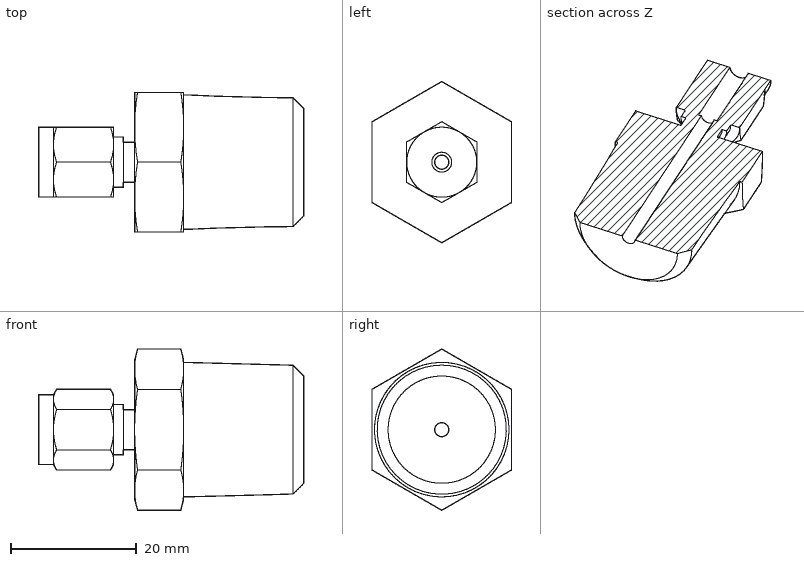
import cadquery as cq
import math

total_length = 42.15
HEXAGON_SIDES = 6

nut_flats = 11.15
nut_collar_diameter = 11.15
nut_collar_length = 2.35
nut_end = 11.95
nut_chamfer_angle = 30

flange_diameter = 8
flange_end = 13.5
neck_diameter = 6.4

body_flats = 22.2
body_start = 15.25
body_end = 23.05
body_chamfer_angle = 15

thread_relief_diameter = 21.38
thread_start = 24.05
thread_half_angle = 1.5
thread_chamfer = 1.73

tube_bore_diameter = 3.15
tube_bore_depth = nut_end
through_bore_diameter = 2.2


def cylinder(start, end, diameter):
    """Round section along X between two stations."""
    return cq.Workplane("YZ", origin=(start, 0, 0)).circle(diameter / 2).extrude(end - start)


def chamfered_hexagon(start, end, flats, face_diameter, chamfer_angle):
    """Hexagon along X, corners up and down, with its corners turned off conically at both faces."""
    corners = flats / math.cos(math.pi / HEXAGON_SIDES)
    prism = (
        cq.Workplane("YZ", origin=(start, 0, 0))
        .transformed(rotate=(0, 0, 90))
        .polygon(HEXAGON_SIDES, corners)
        .extrude(end - start)
    )
    face_radius = face_diameter / 2
    corner_radius = corners / 2
    setback = (corner_radius - face_radius) * math.tan(math.radians(chamfer_angle))
    turned_envelope = (
        cq.Workplane("XZ")
        .moveTo(start, 0)
        .lineTo(start, face_radius)
        .lineTo(start + setback, corner_radius)
        .lineTo(end - setback, corner_radius)
        .lineTo(end, face_radius)
        .lineTo(end, 0)
        .close()
        .revolve(360, (0, 0, 0), (1, 0, 0))
    )
    return prism.intersect(turned_envelope)


def tapered_thread():
    """Plain cone of the pipe thread with a 45 degree chamfer on its free end."""
    large_radius = thread_relief_diameter / 2
    chamfer_start = total_length - thread_chamfer
    cone_length = chamfer_start - thread_start
    small_radius = large_radius - cone_length * math.tan(math.radians(thread_half_angle))
    return (
        cq.Workplane("XZ")
        .moveTo(thread_start, 0)
        .lineTo(thread_start, large_radius)
        .lineTo(chamfer_start, small_radius)
        .lineTo(total_length, small_radius - thread_chamfer)
        .lineTo(total_length, 0)
        .close()
        .revolve(360, (0, 0, 0), (1, 0, 0))
    )


nut_collar = cylinder(0, nut_collar_length, nut_collar_diameter)
nut = chamfered_hexagon(nut_collar_length, nut_end, nut_flats, nut_collar_diameter, nut_chamfer_angle)
flange = cylinder(nut_end, flange_end, flange_diameter)
neck = cylinder(flange_end, body_start, neck_diameter)
body = chamfered_hexagon(body_start, body_end, body_flats, body_flats, body_chamfer_angle)
thread_relief = cylinder(body_end, thread_start, thread_relief_diameter)
outside = nut_collar.union(nut).union(flange).union(neck).union(body).union(thread_relief)
outside = outside.union(tapered_thread())

tube_bore = cylinder(0, tube_bore_depth, tube_bore_diameter)
through_bore = cylinder(0, total_length, through_bore_diameter)
result = outside.cut(tube_bore).cut(through_bore)